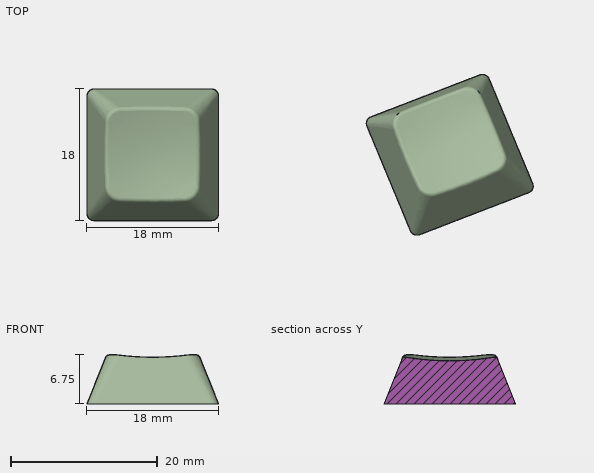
import cadquery as cq

base_side = 18.0
base_corner_radius = 1.0
blank_height = 7.2
top_side = 12.24
top_corner_radius = 2.0
dish_radius = 36.0
dish_bottom_height = 5.9
rim_fillet = 0.5


def rounded_square(side, corner_radius):
    return cq.Sketch().rect(side, side).vertices().fillet(corner_radius)


def tapered_blank():
    """Square frustum whose corner rounding grows from the base to the top."""
    base = rounded_square(base_side, base_corner_radius)
    top = rounded_square(top_side, top_corner_radius)
    return (
        cq.Workplane("XY")
        .placeSketch(base, top.moved(cq.Location(cq.Vector(0, 0, blank_height))))
        .loft(ruled=True)
    )


def dish():
    """Sphere resting on the lowest point of the dished top."""
    return cq.Workplane("XY").sphere(dish_radius).translate((0, 0, dish_bottom_height + dish_radius))


dished_cap = tapered_blank().cut(dish())

result = dished_cap.faces("%SPHERE").edges().fillet(rim_fillet)